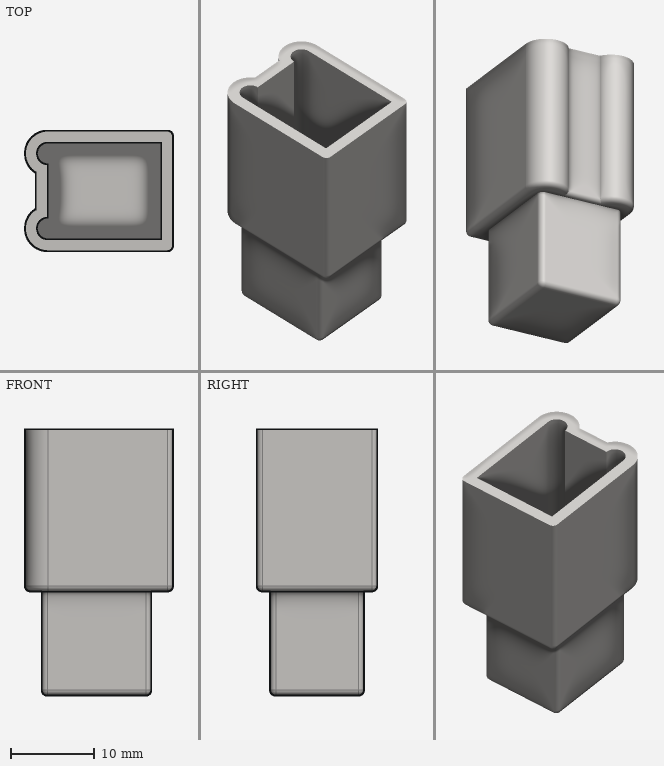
import cadquery as cq

socket_width = 14.5
socket_height = 19.5
wall = 1.45
lobe_radius = 2.75
lobe_bore_radius = lobe_radius - wall
lobe_center_y = socket_width / 2 - lobe_radius
socket_length = 17.8
right_face_x = socket_length - lobe_radius
floor_thickness = wall

peg_length = 13.2
peg_width = 11.3
peg_height = 12.5
peg_left_x = -0.75

corner_radius = 0.7
recess_edge_radius = 0.55


def box_between(left_x, right_x, width, bottom_z, top_z):
    """Box centred on y = 0 between the given X and Z positions."""
    size = (right_x - left_x, width, top_z - bottom_z)
    return cq.Workplane("XY").box(*size, centered=(False, True, False)).translate((left_x, 0, bottom_z))


def make_lobe_cylinders(radius, bottom_z):
    """Pair of upright cylinders on the lobe axes, reaching the socket top."""
    centers = [(0, -lobe_center_y), (0, lobe_center_y)]
    height = socket_height - bottom_z
    return cq.Workplane("XY").workplane(offset=bottom_z).pushPoints(centers).circle(radius).extrude(height)


def make_socket_body():
    block = box_between(0, right_face_x, socket_width, 0, socket_height)
    block = block.edges("|Z and >X").fillet(corner_radius)
    block = block.faces("<Z").edges("not <X").fillet(corner_radius)

    recess_wall = box_between(-wall, wall, 2 * lobe_center_y, 0, socket_height)
    recess_wall = recess_wall.edges("<X and <Z").fillet(recess_edge_radius)

    lobes = make_lobe_cylinders(lobe_radius, 0).faces("<Z").edges().fillet(corner_radius)
    return block.union(recess_wall).union(lobes).clean()


def make_pocket():
    pocket_right_x = right_face_x - wall
    pocket_width = socket_width - 2 * wall
    pocket = box_between(0, pocket_right_x, pocket_width, floor_thickness, socket_height)
    return pocket.union(make_lobe_cylinders(lobe_bore_radius, floor_thickness))


def make_peg():
    peg_right_x = peg_left_x + peg_length
    peg = box_between(peg_left_x, peg_right_x, peg_width, -peg_height, floor_thickness)
    return peg.edges("|Z").fillet(corner_radius).faces("<Z").edges().fillet(corner_radius)


result = make_socket_body().union(make_peg()).cut(make_pocket())